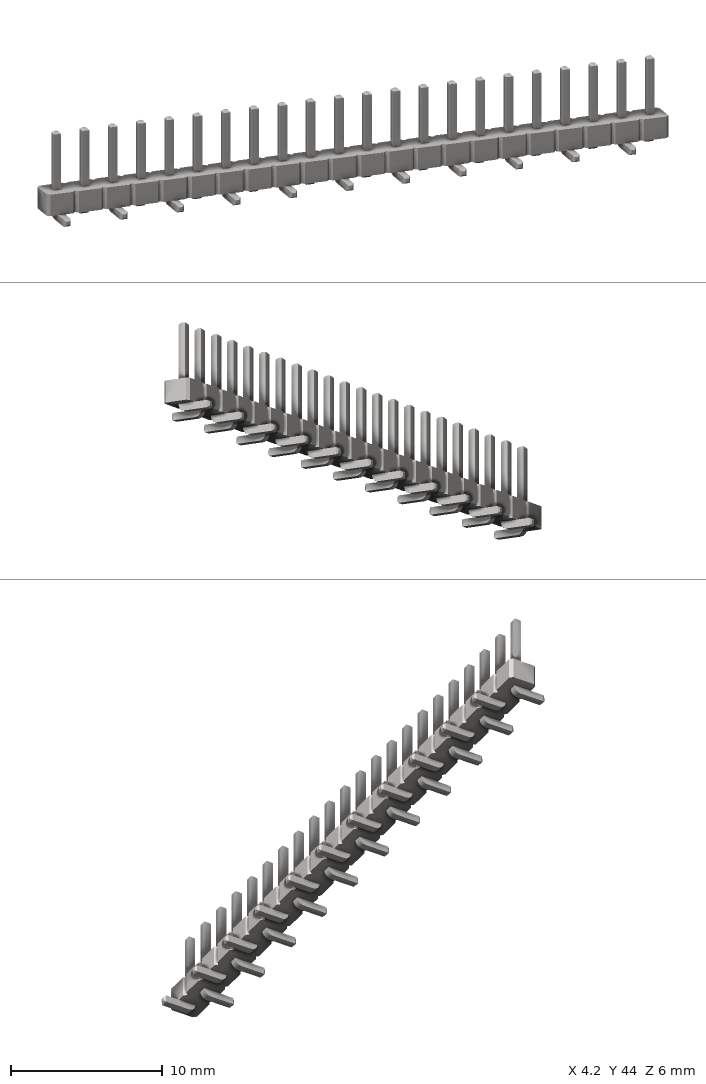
import cadquery as cq
import math

pin_count = 22
pitch = 2.0
overall_width = 4.2
overall_height = 6.0

body_width = 2.0
body_height = 1.5
corner_chamfer = 0.2

pin_size = 0.5
tip_chamfer = pin_size / 4

row_length = pin_count * pitch
body_bottom = pin_size


def pin_position(index):
    """Y centre of a pin, counted from the +Y end of the row."""
    return row_length / 2 - pitch * (index + 0.5)


def make_block(y):
    """Insulator block of one pin, with its four vertical edges chamfered."""
    return (
        cq.Workplane("XY", origin=(0, y, body_bottom))
        .rect(body_width, pitch)
        .extrude(body_height)
        .edges("|Z")
        .chamfer(corner_chamfer)
    )


def make_pin(y, foot_side):
    """L-shaped pin whose foot points towards foot_side (+1 or -1) along X."""
    inner_x = foot_side * pin_size / 2
    outer_x = -inner_x
    tip_x = foot_side * overall_width / 2

    heel_offset = pin_size * math.sqrt(0.5)
    heel_middle = (inner_x - foot_side * heel_offset, pin_size - heel_offset)

    return (
        cq.Workplane("XZ", origin=(0, y, 0))
        .moveTo(inner_x, overall_height)
        .lineTo(outer_x, overall_height)
        .lineTo(outer_x, pin_size)
        .threePointArc(heel_middle, (inner_x, 0))
        .lineTo(tip_x, 0)
        .lineTo(tip_x, pin_size)
        .lineTo(inner_x, pin_size)
        .close()
        .extrude(pin_size / 2, both=True)
        .faces(">Z")
        .chamfer(tip_chamfer)
        .faces(">X" if foot_side > 0 else "<X")
        .chamfer(tip_chamfer)
    )


result = make_block(pin_position(0))
for index in range(1, pin_count):
    result = result.union(make_block(pin_position(index)))
for index in range(pin_count):
    foot_side = -1 if index % 2 == 0 else 1
    result = result.union(make_pin(pin_position(index), foot_side))